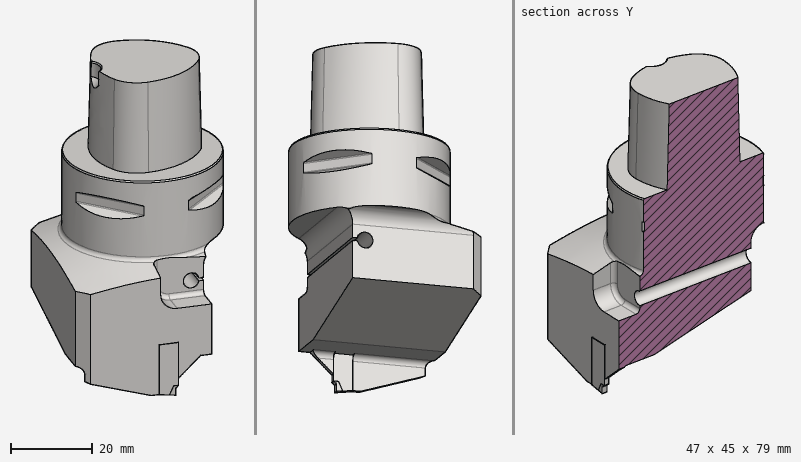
import cadquery as cq
import math


TOP = 24.0
TOTAL_HEIGHT = 79.0
BOTTOM = TOP - TOTAL_HEIGHT

LOBE_TIP = 14.9
LOBE_EDGE = 14.4
FLANK_MIDDLE = 13.1
LOBE_HALF_ANGLE = 18.0
LOBE_SPACING = 120.0
LOBE_DIRECTIONS = (-30.0, 90.0, 210.0)
SHANK_SLOPE = 1 / 40

NOTCH_RADIUS = 4.0
NOTCH_Y = -15.0
NOTCH_DEPTH = 4.0
NOTCH_RIM = 0.3

FLANGE_DIAMETER = 40.0
FLANGE_RADIUS = FLANGE_DIAMETER / 2
FLANGE_BOTTOM = -19.9
RIM_CHAMFER_HEIGHT = 0.4
RIM_CHAMFER_WIDTH = 0.2

SLOT_Z = -7.9
SLOT_DEPTH = 2.4
SLOT_FLOOR_HEIGHT = 2.6
SLOT_SIDE_ANGLE = 30.0
SLOT_FLOOR_FILLET = 0.3
SLOT_DIRECTIONS = (45.0, 135.0, 225.0, 315.0)

BLOCK_LEFT = -15.0
BLOCK_RIGHT = 26.8
TOTAL_DEPTH = 45.0
BLOCK_FRONT = FLANGE_RADIUS - TOTAL_DEPTH
BLOCK_BACK = 9.4
BLOCK_BOTTOM = -45.3
RAMP_LEFT_Z = -37.7
RAMP_END_X = 15.6
CORNER_CHAMFER = 3.0
NECK_FILLET = 4.0

SHOULDER_Z = -21.2
SHOULDER_ANGLE = math.radians(15.0)
SHOULDER_FILLET = 1.2

BLADE_LEFT = 25.6
BLADE_FILLET = 1.6
JAW_TOP_Y = 6.5
JAW_END_Z = -50.6
SUPPORT_Z = -54.35
SUPPORT_END_Y = -6.3
BLADE_END_Z = -48.3

RECESS_LEFT = 20.15
RECESS_FRONT = -3.9
RECESS_FLOOR = -31.75
RECESS_FLOOR_FILLET = 4.3
RECESS_SIDE_FILLET = 1.2

RELIEF_DIAMETER = 4.0
RELIEF_Y = 6.2
RELIEF_Z = -27.7
SLIT_HEIGHT = 0.8

INSERT_LEFT = 25.4
INSERT_WIDTH = 1.6
INSERT_RIGHT = INSERT_LEFT + INSERT_WIDTH
INSERT_BACK = 0.7
INSERT_FRONT = -4.3
INSERT_TOP = -40.9
RAKE_Y = 0.0
RAKE_TOP = -53.1
STEP_Z = RAKE_TOP + INSERT_BACK - RAKE_Y
EDGE_OVERHANG = 0.1
HEAD_TOP_Y = -0.55
HEAD_BOTTOM_Y = -1.65


def polar(radius, degrees):
    angle = math.radians(degrees)
    return (radius * math.cos(angle), radius * math.sin(angle))


def shank_section(sketch, inset):
    """Closed outline of three lobe arcs and three flank arcs, moved inward by inset."""
    first = LOBE_DIRECTIONS[0] - LOBE_HALF_ANGLE
    outline = sketch.moveTo(*polar(LOBE_EDGE - inset, first))
    for direction in LOBE_DIRECTIONS:
        lobe_end = direction + LOBE_HALF_ANGLE
        flank_middle = direction + LOBE_SPACING / 2
        flank_end = direction + LOBE_SPACING - LOBE_HALF_ANGLE
        outline = outline.threePointArc(
            polar(LOBE_TIP - inset, direction), polar(LOBE_EDGE - inset, lobe_end)
        )
        outline = outline.threePointArc(
            polar(FLANK_MIDDLE - inset, flank_middle), polar(LOBE_EDGE - inset, flank_end)
        )
    return outline.close()


def make_shank():
    base = shank_section(cq.Workplane("XY"), 0.0)
    shank = shank_section(base.workplane(offset=TOP), TOP * SHANK_SLOPE).loft(ruled=True)
    notch_bottom = TOP - NOTCH_DEPTH
    notch = (
        cq.Workplane("XZ", origin=(0, NOTCH_Y, 0))
        .moveTo(0, TOP)
        .lineTo(NOTCH_RADIUS + NOTCH_RIM, TOP)
        .lineTo(NOTCH_RADIUS, TOP - NOTCH_RIM)
        .lineTo(NOTCH_RADIUS, notch_bottom)
        .lineTo(0, notch_bottom - NOTCH_RADIUS)
        .close()
        .revolve(360, (0, 0, 0), (0, 1, 0))
    )
    return shank.cut(notch)


def make_slot_cutter(direction):
    """Straight trapezoidal groove with rounded corners, whose flat floor is a chord of the flange."""
    half_floor = SLOT_FLOOR_HEIGHT / 2
    floor_radius = FLANGE_RADIUS - SLOT_DEPTH
    half_mouth = half_floor + SLOT_DEPTH * math.tan(math.radians(SLOT_SIDE_ANGLE))
    return (
        cq.Workplane("XZ", origin=(0, 0, SLOT_Z))
        .moveTo(floor_radius, -half_floor)
        .lineTo(FLANGE_RADIUS, -half_mouth)
        .lineTo(FLANGE_RADIUS, half_mouth)
        .lineTo(floor_radius, half_floor)
        .close()
        .extrude(FLANGE_RADIUS, both=True)
        .faces("<X")
        .edges("|Y")
        .fillet(SLOT_FLOOR_FILLET)
        .rotate((0, 0, 0), (0, 0, 1), direction)
    )


def make_flange():
    flange = (
        cq.Workplane("XZ")
        .moveTo(0, 0)
        .lineTo(FLANGE_RADIUS - RIM_CHAMFER_WIDTH, 0)
        .lineTo(FLANGE_RADIUS, -RIM_CHAMFER_HEIGHT)
        .lineTo(FLANGE_RADIUS, FLANGE_BOTTOM)
        .lineTo(0, FLANGE_BOTTOM)
        .close()
        .revolve(360, (0, 0, 0), (0, 1, 0))
    )
    for direction in SLOT_DIRECTIONS:
        flange = flange.cut(make_slot_cutter(direction))
    return flange


def make_front_profile():
    """Block and blade in X and Z, flaring out to the flange on the left."""
    return (
        cq.Workplane("XZ", origin=(0, BLOCK_FRONT, 0))
        .moveTo(BLOCK_LEFT, RAMP_LEFT_Z)
        .lineTo(RAMP_END_X, BLOCK_BOTTOM)
        .lineTo(BLADE_LEFT - BLADE_FILLET, BLOCK_BOTTOM)
        .tangentArcPoint((BLADE_LEFT, BLOCK_BOTTOM - BLADE_FILLET), relative=False)
        .lineTo(BLADE_LEFT, BOTTOM)
        .lineTo(BLOCK_RIGHT, BOTTOM)
        .lineTo(BLOCK_RIGHT, FLANGE_BOTTOM)
        .lineTo(BLOCK_LEFT - NECK_FILLET, FLANGE_BOTTOM)
        .radiusArc((BLOCK_LEFT, FLANGE_BOTTOM - NECK_FILLET), NECK_FILLET)
        .close()
        .extrude(BLOCK_FRONT - BLOCK_BACK - NECK_FILLET)
    )


def make_side_profile():
    """Block and blade in Y and Z, flaring out to the flange at the back."""
    reach = BLOCK_RIGHT - BLOCK_LEFT + NECK_FILLET
    return (
        cq.Workplane("YZ", origin=(BLOCK_LEFT - NECK_FILLET, 0, 0))
        .moveTo(BLOCK_FRONT, FLANGE_BOTTOM)
        .lineTo(BLOCK_FRONT, BLADE_END_Z)
        .lineTo(SUPPORT_END_Y, SUPPORT_Z)
        .lineTo(INSERT_FRONT, SUPPORT_Z)
        .lineTo(INSERT_FRONT, JAW_END_Z)
        .lineTo(INSERT_BACK, JAW_END_Z)
        .lineTo(JAW_TOP_Y, BLOCK_BOTTOM)
        .lineTo(BLOCK_BACK, BLOCK_BOTTOM)
        .lineTo(BLOCK_BACK, FLANGE_BOTTOM - NECK_FILLET)
        .radiusArc((BLOCK_BACK + NECK_FILLET, FLANGE_BOTTOM), NECK_FILLET)
        .close()
        .extrude(reach)
    )


def make_plan():
    """Block in X and Y, with both front corners cut at 45 degrees."""
    left = BLOCK_LEFT - NECK_FILLET
    back = BLOCK_BACK + NECK_FILLET
    left_cut = CORNER_CHAMFER + NECK_FILLET
    return (
        cq.Workplane("XY", origin=(0, 0, BOTTOM))
        .moveTo(left, back)
        .lineTo(left, BLOCK_FRONT + left_cut)
        .lineTo(left + left_cut, BLOCK_FRONT)
        .lineTo(BLOCK_RIGHT - CORNER_CHAMFER, BLOCK_FRONT)
        .lineTo(BLOCK_RIGHT, BLOCK_FRONT + CORNER_CHAMFER)
        .lineTo(BLOCK_RIGHT, back)
        .close()
        .extrude(FLANGE_BOTTOM - BOTTOM)
    )


def make_shoulder():
    """Round envelope: flange cylinder, concave fillet, then the sloping cone."""
    outer_radius = math.hypot(BLOCK_RIGHT, BLOCK_FRONT)
    cone_drop = (outer_radius - FLANGE_RADIUS) * math.tan(SHOULDER_ANGLE)
    tangent = SHOULDER_FILLET * math.tan((math.pi / 2 - SHOULDER_ANGLE) / 2)
    fillet_end = (
        FLANGE_RADIUS + tangent * math.cos(SHOULDER_ANGLE),
        SHOULDER_Z - tangent * math.sin(SHOULDER_ANGLE),
    )
    return (
        cq.Workplane("XZ")
        .moveTo(0, FLANGE_BOTTOM)
        .lineTo(FLANGE_RADIUS, FLANGE_BOTTOM)
        .lineTo(FLANGE_RADIUS, SHOULDER_Z + tangent)
        .tangentArcPoint(fillet_end, relative=False)
        .lineTo(outer_radius, SHOULDER_Z - cone_drop)
        .lineTo(outer_radius, BOTTOM)
        .lineTo(0, BOTTOM)
        .close()
        .revolve(360, (0, 0, 0), (0, 1, 0))
    )


def make_recess_cutter():
    length = BLOCK_RIGHT - RECESS_LEFT
    depth = BLOCK_BACK + NECK_FILLET - RECESS_FRONT
    return (
        cq.Workplane("XY", origin=(RECESS_LEFT, RECESS_FRONT, RECESS_FLOOR))
        .box(length, depth, FLANGE_BOTTOM - RECESS_FLOOR, centered=False)
        .edges("<Y and <Z")
        .fillet(RECESS_FLOOR_FILLET)
        .faces("<X")
        .edges("not(>Y or >Z)")
        .fillet(RECESS_SIDE_FILLET)
    )


def make_relief_cutter():
    start = BLOCK_LEFT - NECK_FILLET
    length = BLOCK_RIGHT - start
    hole = (
        cq.Workplane("YZ", origin=(start, RELIEF_Y, RELIEF_Z))
        .circle(RELIEF_DIAMETER / 2)
        .extrude(length)
    )
    slit = cq.Workplane("XY", origin=(start, RELIEF_Y, RELIEF_Z)).box(
        length, BLOCK_BACK - RELIEF_Y, SLIT_HEIGHT, centered=(False, False, True)
    )
    return hole.union(slit)


def make_insert_body():
    """Upright bar, narrower than the cutting head, with a stepped rake face."""
    return (
        cq.Workplane("YZ", origin=(INSERT_LEFT + EDGE_OVERHANG, 0, 0))
        .moveTo(INSERT_FRONT, INSERT_TOP)
        .lineTo(INSERT_BACK, INSERT_TOP)
        .lineTo(INSERT_BACK, STEP_Z)
        .lineTo(RAKE_Y, RAKE_TOP)
        .lineTo(RAKE_Y, BOTTOM)
        .lineTo(INSERT_FRONT, SUPPORT_Z)
        .close()
        .extrude(INSERT_WIDTH - 2 * EDGE_OVERHANG)
    )


def make_insert_head():
    """Cutting head at the lower end: full width at the rake face, narrowing toward the front."""
    outline = (
        cq.Workplane("YZ", origin=(INSERT_LEFT, 0, 0))
        .moveTo(INSERT_BACK, STEP_Z)
        .lineTo(RAKE_Y, RAKE_TOP)
        .lineTo(RAKE_Y, BOTTOM)
        .lineTo(HEAD_BOTTOM_Y, BOTTOM + (SUPPORT_Z - BOTTOM) * HEAD_BOTTOM_Y / INSERT_FRONT)
        .lineTo(HEAD_TOP_Y, STEP_Z)
        .close()
        .extrude(INSERT_WIDTH)
    )
    plan = (
        cq.Workplane("XY", origin=(0, 0, BOTTOM))
        .moveTo(INSERT_LEFT, INSERT_BACK)
        .lineTo(INSERT_LEFT, RAKE_Y)
        .lineTo(INSERT_LEFT + EDGE_OVERHANG, HEAD_BOTTOM_Y)
        .lineTo(INSERT_RIGHT - EDGE_OVERHANG, HEAD_BOTTOM_Y)
        .lineTo(INSERT_RIGHT, RAKE_Y)
        .lineTo(INSERT_RIGHT, INSERT_BACK)
        .close()
        .extrude(INSERT_TOP - BOTTOM)
    )
    return outline.intersect(plan)


def make_insert():
    return make_insert_body().union(make_insert_head())


def make_insert_clearance():
    """Opens the blade fillet beside the insert, below the block."""
    start = BLADE_LEFT - BLADE_FILLET
    return cq.Workplane("XY", origin=(start, INSERT_FRONT, BOTTOM)).box(
        INSERT_RIGHT - start, INSERT_BACK - INSERT_FRONT, BLOCK_BOTTOM - BOTTOM, centered=False
    )


def make_holder(insert):
    block = make_front_profile().intersect(make_side_profile()).intersect(make_plan())
    block = block.intersect(make_shoulder())
    block = block.cut(make_recess_cutter()).cut(make_relief_cutter()).cut(make_insert_clearance())
    return make_shank().union(make_flange()).union(block).cut(insert)


insert = make_insert()
holder = make_holder(insert)
result = cq.Compound.makeCompound([holder.val(), insert.val()])